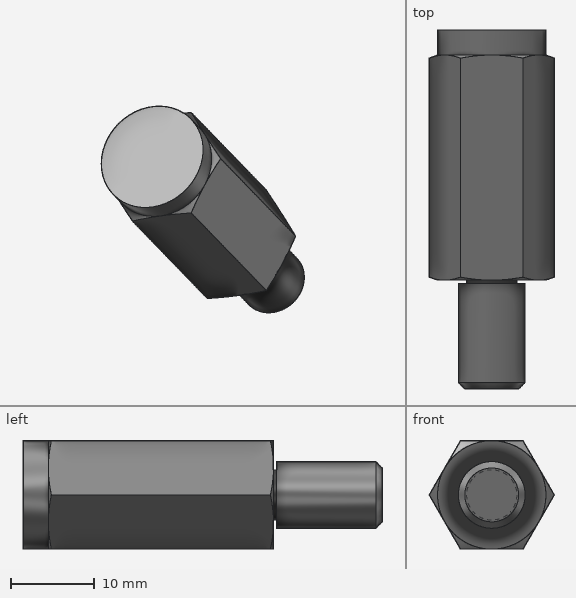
import cadquery as cq
import math

total_length = 43
body_diameter = 13.0
collar_length = 3
stud_length = 13.05
stud_diameter = 8.0
neck_diameter = 6
neck_length = 0.4
tip_chamfer = 0.77
corner_chamfer_angle = 20

tip_y = -total_length / 2
shoulder_y = tip_y + stud_length
neck_start_y = shoulder_y - neck_length
collar_end_y = total_length / 2
hex_end_y = collar_end_y - collar_length
hex_length = hex_end_y - shoulder_y

across_corners = body_diameter / math.cos(math.pi / 6)
corner_depth = (across_corners - body_diameter) / 2 * math.tan(math.radians(corner_chamfer_angle))


def cylinder(diameter, start_y, end_y):
    """Round bar on the Y axis between two Y positions."""
    plane = cq.Plane(origin=(0, start_y, 0), xDir=(1, 0, 0), normal=(0, 1, 0))
    return cq.Workplane(plane).circle(diameter / 2).extrude(end_y - start_y)


def hexagon():
    """Hexagonal body with corners at +X and -X, its corners coned off at both ends."""
    plane = cq.Plane(origin=(0, shoulder_y, 0), xDir=(1, 0, 0), normal=(0, 1, 0))
    bar = cq.Workplane(plane).polygon(6, across_corners).extrude(hex_length)
    cone_profile = [
        (0, shoulder_y),
        (body_diameter / 2, shoulder_y),
        (across_corners / 2, shoulder_y + corner_depth),
        (across_corners / 2, hex_end_y - corner_depth),
        (body_diameter / 2, hex_end_y),
        (0, hex_end_y),
    ]
    envelope = cq.Workplane("XY").polyline(cone_profile).close().revolve(360, (0, 0), (0, 1))
    return bar.intersect(envelope)


def stud():
    """Stud with a chamfered tip."""
    return cylinder(stud_diameter, tip_y, neck_start_y).faces("<Y").chamfer(tip_chamfer)


neck = cylinder(neck_diameter, neck_start_y, shoulder_y)
collar = cylinder(body_diameter, hex_end_y, collar_end_y)
result = hexagon().union(collar).union(neck).union(stud())